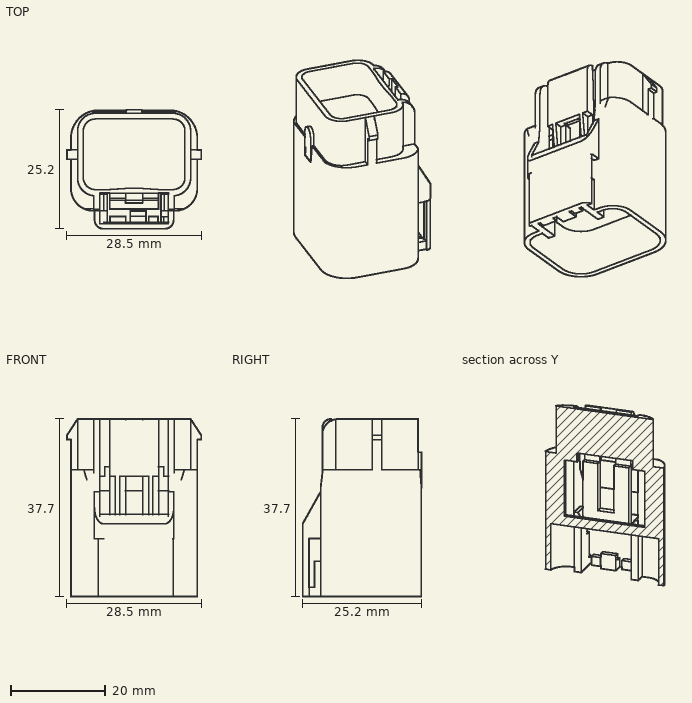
import cadquery as cq


height = 37.7
body_half_width = 13.42
body_back = 21.38
body_front_radius = 4.8
body_back_radius = 5.95
shoulder_z = 26.95
front_relief = 0.45
back_relief = 0.3
relief_height = 3.9

shell_half_width = 12.0
shell_front = 3.2
shell_back = 20.7
shell_radius = 3.77

cavity_wall = 1.2
cavity_top_z = 10.55

cup_wall = 1.2
cup_depth = 7.73
cup_front = 4.52
cup_bulge = 0.25
cup_bulge_half_width = 5.28

tab_tip = 14.25
tab_y = 11.95
tab_width = 2.0
tab_bottom_z = 33.3
tab_tip_z = 34.25
key_radius = 1.65
key_back = 21.45
key_arch_z = 29.0

channel_half_width = 7.25
channel_back = 3.77
rail_half_width = 8.52
rail_front = 0.38
rail_round = channel_back - rail_front
recess_half_width = 9.05
recess_back = 5.15
recess_floor_z = 12.8
recess_top_z = 25.52
recess_center_top_z = 27.52
recess_center_half_width = 6.25
groove_back = 6.4
groove_floor_z = 17.5
groove_top_z = 22.5

latch_half_width = 5.2
latch_front = 0.38
latch_back = 2.3
latch_bottom_z = 25.52
latch_round = 1.85
arm_front = 2.22
arm_back = 3.77
spine_back = 2.7
window_half_width = 1.8
window_sill_z = 14.78
notch_front = 1.7
rib_inner = 3.1
rib_outer = 3.95

hood_half_width = 8.4
hood_front = -3.8
hood_radius = 1.92
hood_wall = 1.13
hood_top_z = 22.25
hood_slope_z = 15.45
side_opening_z = 12.33
plate_back = -2.4

guide_inner = 5.65
guide_back = 3.55
guide_top_z = 13.6
guide_bevel_width = 0.75
guide_bevel_drop = 1.13
foot_z = 2.05
stop_depth = 1.3
stop_z = 7.55
foot_bevel_width = 0.6
foot_bevel_drop = 0.38
center_foot = (-0.83, 2.53)
step_depth = 1.15
step_z = 3.45
short_feet = [(-5.13, -1.77), (3.1, 5.1)]


def block(x_range, y_range, z_range):
    """Axis-aligned box between the given limits."""
    (x0, x1), (y0, y1), (z0, z1) = x_range, y_range, z_range
    return cq.Workplane("XY").box(x1 - x0, y1 - y0, z1 - z0, centered=False).translate((x0, y0, z0))


def side_prism(points, x_range):
    """Extrude a (Y, Z) outline along X between two limits."""
    x0, x1 = x_range
    return cq.Workplane("YZ").polyline(points).close().extrude(x1 - x0).translate((x0, 0, 0))


def front_prism(points, y_range):
    """Extrude an (X, Z) outline along Y between two limits."""
    y0, y1 = y_range
    return cq.Workplane("XZ").polyline(points).close().extrude(y0 - y1).translate((0, y0, 0))


def both_sides(solid):
    """The solid together with its mirror image in X."""
    return solid.union(solid.mirror("YZ"))


def main_body():
    body = block((-body_half_width, body_half_width), (0, body_back), (0, shoulder_z))
    body = body.edges("|Z and <Y").fillet(body_front_radius)
    body = body.edges("|Z and >Y").fillet(body_back_radius)
    relief_z = shoulder_z - relief_height
    profile = [
        (0, 0),
        (body_back, 0),
        (body_back, relief_z),
        (body_back - back_relief, shoulder_z),
        (front_relief, shoulder_z),
        (0, relief_z),
    ]
    return body.intersect(side_prism(profile, (-body_half_width, body_half_width)))


def upper_shell():
    z_range = (shoulder_z, height)
    shell = block((-shell_half_width, shell_half_width), (shell_front, shell_back), z_range)
    shell = shell.edges("|Z").fillet(shell_radius)
    rails = block((-rail_half_width, rail_half_width), (rail_front, shell_front + shell_radius),
                  (shoulder_z - relief_height, height))
    shell = shell.union(rails)
    rounding = block((-shell_half_width, shell_half_width), (rail_front, shell_back), (0, height))
    rounding = rounding.edges(">Z and <Y").fillet(rail_round)
    return shell.intersect(rounding)


def bottom_cavity():
    half_width = body_half_width - cavity_wall
    cavity = block((-half_width, half_width), (cavity_wall, body_back - cavity_wall), (0, cavity_top_z))
    cavity = cavity.edges("|Z and <Y").fillet(body_front_radius - cavity_wall)
    return cavity.edges("|Z and >Y").fillet(body_back_radius - cavity_wall)


def cup():
    half_width = shell_half_width - cup_wall
    floor_z = height - cup_depth
    back = shell_back - cup_wall
    cavity = block((-half_width, half_width), (cup_front, back), (floor_z, height))
    cavity = cavity.edges("|Z").fillet(shell_radius - cup_wall)
    bulge = (
        cq.Workplane("XY", origin=(0, cup_front, floor_z))
        .moveTo(-cup_bulge_half_width, 0)
        .threePointArc((0, cup_bulge), (cup_bulge_half_width, 0))
        .close()
        .extrude(cup_depth)
    )
    return cavity.cut(bulge)


def side_tabs():
    inner = shell_half_width - cup_wall / 2
    profile = [
        (inner, shoulder_z - relief_height),
        (body_half_width, shoulder_z - relief_height),
        (body_half_width, tab_bottom_z),
        (tab_tip, tab_bottom_z),
        (tab_tip, tab_tip_z),
        (shell_half_width, height),
        (inner, height),
    ]
    return both_sides(front_prism(profile, (tab_y - tab_width / 2, tab_y + tab_width / 2)))


def back_key():
    y_range = (shell_back - cup_wall / 2, key_back)
    post = block((-key_radius, key_radius), y_range, (shoulder_z - relief_height, key_arch_z))
    arch = (
        cq.Workplane("XZ", origin=(0, key_back, key_arch_z))
        .circle(key_radius)
        .extrude(y_range[1] - y_range[0])
    )
    return post.union(arch)


def latch_channel():
    channel = block((-channel_half_width, channel_half_width), (0, channel_back), (0, height))
    y_range = (channel_back, recess_back)
    recess = block((-recess_half_width, recess_half_width), y_range, (recess_floor_z, recess_top_z))
    center = block((-recess_center_half_width, recess_center_half_width), y_range,
                   (recess_floor_z, recess_center_top_z))
    groove = block((-recess_half_width, recess_half_width), (channel_back, groove_back),
                   (groove_floor_z, groove_top_z))
    return channel.union(recess).union(center).union(groove)


def latch():
    x_range = (-latch_half_width, latch_half_width)
    plate = block(x_range, (latch_front, latch_back), (latch_bottom_z, height))
    plate = plate.edges(">Z and <Y").fillet(latch_round)
    spine = side_prism(
        [
            (arm_front, cavity_top_z),
            (spine_back, cavity_top_z),
            (spine_back, latch_bottom_z),
            (latch_back, height - latch_round / 2),
            (arm_front, height - latch_round / 2),
        ],
        x_range,
    )
    arm = block(x_range, (arm_front, arm_back), (cavity_top_z, latch_bottom_z))
    window = block((-window_half_width, window_half_width), (notch_front, arm_back),
                   (window_sill_z, height))
    root = block(x_range, (arm_front, recess_back), (cavity_top_z, recess_floor_z))
    rib = side_prism(
        [(arm_front, cavity_top_z), (arm_front, latch_bottom_z), (latch_front, latch_bottom_z)],
        (rib_inner, rib_outer),
    )
    return plate.union(spine).union(arm).cut(window).union(root).union(both_sides(rib))


def hood():
    outer = block((-hood_half_width, hood_half_width), (hood_front, 0), (0, hood_top_z))
    outer = outer.edges("|Z and <Y").fillet(hood_radius)
    slope = [(0, 0), (hood_front, 0), (hood_front, hood_slope_z), (0, hood_top_z)]
    outer = outer.intersect(side_prism(slope, (-hood_half_width, hood_half_width)))
    inside = block((-channel_half_width, channel_half_width), (hood_front + hood_wall, 0), (0, hood_top_z))
    thick_plate = block((-channel_half_width, channel_half_width),
                        (hood_front + hood_wall / 2, plate_back), (0, side_opening_z))
    opening = block((-hood_half_width, hood_half_width), (plate_back, 0), (0, side_opening_z))
    shell = outer.cut(inside).cut(opening)

    corner_x = hood_radius - hood_half_width
    corner = block((-hood_half_width, corner_x), (hood_front, 0), (0, side_opening_z))
    edge = cq.Workplane("XY").center(corner_x, hood_front + hood_wall).circle(hood_wall)
    edge = edge.extrude(side_opening_z)
    edge = edge.intersect(block((-hood_half_width, corner_x), (hood_front, hood_front + hood_wall),
                                (0, side_opening_z)))
    thick_plate = thick_plate.cut(corner)
    return shell.cut(corner).union(edge).union(thick_plate)


def channel_guides():
    bevel_x = guide_inner + guide_bevel_width
    profile = [
        (guide_inner, 0),
        (channel_half_width, 0),
        (channel_half_width, guide_top_z),
        (bevel_x, guide_top_z),
        (guide_inner, guide_top_z - guide_bevel_drop),
    ]
    return both_sides(front_prism(profile, (0, guide_back)))


def plate_feet():
    plate_y = hood_front + hood_wall / 2
    side_x = (guide_inner, channel_half_width)
    feet = block((-channel_half_width, -guide_inner), (plate_y, 0), (0, foot_z))
    right_profile = [
        (guide_inner, 0),
        (channel_half_width, 0),
        (channel_half_width, foot_z),
        (guide_inner + foot_bevel_width, foot_z),
        (guide_inner, foot_z - foot_bevel_drop),
    ]
    feet = feet.union(front_prism(right_profile, (plate_y, 0)))
    feet = feet.union(block(side_x, (-stop_depth, 0), (0, stop_z)))
    for x_range in short_feet:
        feet = feet.union(block(x_range, (plate_y, -step_depth), (0, foot_z)))
    feet = feet.union(block(center_foot, (plate_y, 0), (0, foot_z)))
    return feet.union(block(center_foot, (-step_depth, 0), (0, step_z)))


result = main_body().union(upper_shell()).union(side_tabs()).union(back_key())
result = result.cut(cup()).cut(bottom_cavity()).cut(latch_channel())
result = result.union(hood()).union(latch()).union(channel_guides()).union(plate_feet())